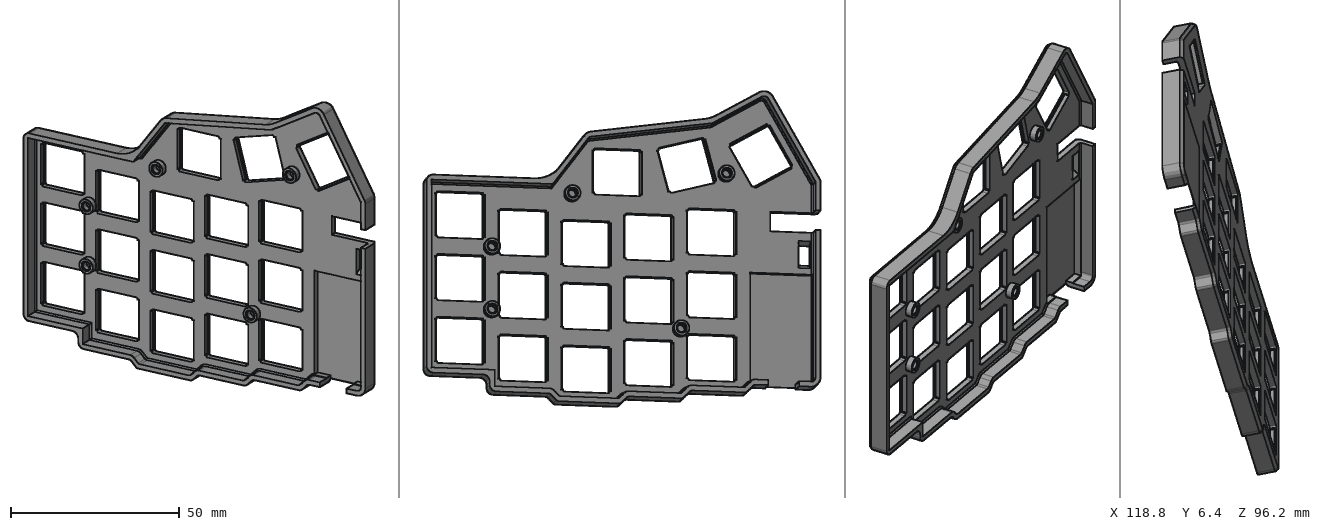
import cadquery as cq
import math

width = 118.8
depth = 6.4
wall = 1.5
plate = 2.0
floor_y = depth - plate

key_size = 14.0
key_pitch = 19.0
key_corner = 0.5
clip_width = 15.1
clip_height = 12.8
clip_depth = 1.4

outer_chamfer_depth = 1.1
outer_chamfer_inset = 0.7
inner_chamfer = 0.5

top_left = 67.2
bottom = [0.0, 2.3, 4.8, 7.2]
step_radius = 1.2
corner_radius = 2.0
large_radius = 3.0
sweep_radius = 10.0
inner_corner = large_radius - wall
inner_step_concave = 2.0
inner_step_convex = 1.0

outline = [
    (0.0, top_left, corner_radius, 0),
    (37.4, top_left, sweep_radius, 0),
    (48.3, 81.8, large_radius, 0),
    (85.7, 87.4, sweep_radius, 0),
    (102.8, 97.3, large_radius, inner_corner),
    (width, 69.7, corner_radius, 0),
    (width, bottom[3], large_radius, inner_corner),
    (98.8, bottom[3], step_radius, inner_step_concave),
    (96.3, bottom[2], step_radius, inner_step_convex),
    (79.7, bottom[2], step_radius, inner_step_concave),
    (77.2, bottom[1], step_radius, inner_step_convex),
    (60.7, bottom[1], step_radius, inner_step_concave),
    (58.4, bottom[0], step_radius, inner_step_convex),
    (39.4, bottom[0], step_radius, inner_step_convex),
    (37.2, bottom[1], step_radius, inner_step_concave),
    (19.0, bottom[1], corner_radius, 0),
    (19.0, bottom[3], corner_radius, 0),
    (0.0, bottom[3], corner_radius, 0),
]

columns = [(10.9, 18.2), (29.9, 13.5), (48.9, 10.9), (67.8, 13.5), (86.7, 15.8)]
rows = 3
thumb_keys = [(58.3, 70.9, 0.0), (79.2, 73.7, 15.0), (101.5, 77.4, 120.0)]

posts = [(44.5, 63.8), (91.0, 71.5), (20.3, 46.8), (20.3, 27.8), (77.3, 24.1)]
post_diameter = 4.6
post_height = 2.0
screw_diameter = 2.5
screw_mouth_diameter = 3.1
screw_depth = 2.4

slot_left, slot_bottom, slot_top = 104.4, 54.7, 60.7

window_left, window_right = 112.9, 116.5
window_bottom, window_top = 43.9, 52.1
window_taper = 1.2

pocket_left, pocket_bottom, pocket_top = 98.3, 8.9, 42.0
pocket_clearance = 0.1
pocket_depth = 1.9
gap_left, gap_right = 103.0, 112.2


def xz_plane(y):
    """Sketch plane at the given depth; its axes are X and Z and it extrudes toward -Y."""
    return cq.Workplane(cq.Plane(origin=(0, y, 0), xDir=(1, 0, 0), normal=(0, -1, 0)))


def box(x0, x1, y0, y1, z0, z1):
    """Box between two limits on each axis."""
    block = cq.Workplane().box(x1 - x0, y1 - y0, z1 - z0, centered=False)
    return block.translate((x0, y0, z0))


def toward(start, end, distance):
    """Point at a distance from start on the way to end."""
    share = distance / math.dist(start, end)
    return (start[0] + (end[0] - start[0]) * share, start[1] + (end[1] - start[1]) * share)


def corner_angle(before, corner, after):
    """Angle between the two edges that meet at a corner."""
    to_before = toward(corner, before, 1.2)
    to_after = toward(corner, after, 1.2)
    return 2 * math.asin(math.dist(to_before, to_after) / 2.4)


def rounded_outline(points, radii, plane):
    """Closed outline through the points, each corner rounded by a tangent arc."""
    path = None
    for i, point in enumerate(points):
        before = points[i - 1]
        after = points[(i + 1) % len(points)]
        half_angle = corner_angle(before, point, after) / 2
        reach = radii[i] / math.tan(half_angle)
        start = toward(point, before, reach)
        path = plane.moveTo(*start) if path is None else path.lineTo(*start)
        if radii[i] > 0:
            end = toward(point, after, reach)
            chord_middle = ((start[0] + end[0]) / 2, (start[1] + end[1]) / 2)
            arc_middle = toward(point, chord_middle, radii[i] / math.sin(half_angle) - radii[i])
            path = path.threePointArc(arc_middle, end)
    return path.close()


def inward_normal(start, end):
    """Unit normal to the right of an edge, which is the inside of a clockwise outline."""
    length = math.dist(start, end)
    return ((end[1] - start[1]) / length, (start[0] - end[0]) / length)


def inset_corners(points, distance):
    """Sharp corners of the outline after its edges move inward by the distance."""
    moved = []
    for i, point in enumerate(points):
        n1 = inward_normal(points[i - 1], point)
        n2 = inward_normal(point, points[(i + 1) % len(points)])
        reach = distance / (1 + n1[0] * n2[0] + n1[1] * n2[1])
        moved.append((point[0] + reach * (n1[0] + n2[0]), point[1] + reach * (n1[1] + n2[1])))
    return moved


def make_tray():
    """Plate with a wall around it, open toward -Y."""
    corners = [(x, z) for x, z, _, _ in outline]
    outer_radii = [outer for _, _, outer, _ in outline]
    inner_radii = [inner for _, _, _, inner in outline]
    body = rounded_outline(corners, outer_radii, xz_plane(depth)).extrude(depth)
    body = body.faces(">Y").chamfer(outer_chamfer_depth, outer_chamfer_inset)
    inner_corners = inset_corners(corners, wall)
    cavity = rounded_outline(inner_corners, inner_radii, xz_plane(floor_y)).extrude(floor_y)
    cavity = cavity.faces(">Y").chamfer(inner_chamfer)
    return body.cut(cavity)


def make_post(x, z):
    """Screw post standing on the plate."""
    return xz_plane(floor_y).center(x, z).circle(post_diameter / 2).extrude(post_height)


def make_screw_hole(x, z):
    """Blind screw hole with a chamfered mouth."""
    post_top = floor_y - post_height
    lead = (screw_mouth_diameter - screw_diameter) / 2
    hole = xz_plane(post_top + screw_depth).center(x, z).circle(screw_diameter / 2).extrude(screw_depth)
    mouth = xz_plane(post_top + lead).center(x, z).circle(screw_diameter / 2)
    mouth = mouth.workplane(offset=lead).circle(screw_mouth_diameter / 2).loft()
    return hole.union(mouth)


def make_key_cut(x, z, turn):
    """Square key opening with its clip recess, turned about Y."""
    opening = xz_plane(depth).rect(key_size, key_size).extrude(plate)
    opening = opening.edges("|Y").fillet(key_corner)
    recess = xz_plane(floor_y + clip_depth).rect(clip_width, clip_height).extrude(clip_depth)
    return opening.union(recess).rotate((0, 0, 0), (0, 1, 0), -turn).translate((x, 0, z))


def make_window():
    """Window through the plate that narrows in Z toward the key face."""
    span_x = window_right - window_left
    span_z = window_top - window_bottom
    middle = ((window_left + window_right) / 2, (window_bottom + window_top) / 2)
    sketch = xz_plane(floor_y).center(*middle).rect(span_x, span_z)
    return sketch.workplane(offset=-plate).rect(span_x, span_z - 2 * window_taper).loft()


result = make_tray()

for x, z in posts:
    result = result.union(make_post(x, z))
for x, z in posts:
    result = result.cut(make_screw_hole(x, z))

for x, z in columns:
    for row in range(rows):
        result = result.cut(make_key_cut(x, z + row * key_pitch, 0))
for x, z, turn in thumb_keys:
    result = result.cut(make_key_cut(x, z, turn))

result = result.cut(box(slot_left, width, 0, depth, slot_bottom, slot_top))
result = result.cut(make_window())

pocket_right = width - wall - pocket_clearance
pocket_floor = floor_y + pocket_depth
pocket_start = floor_y - inner_chamfer
result = result.cut(box(pocket_left, pocket_right, pocket_start, pocket_floor, pocket_bottom, pocket_top))
result = result.cut(box(gap_left, gap_right, 0, pocket_floor, 0, pocket_bottom))